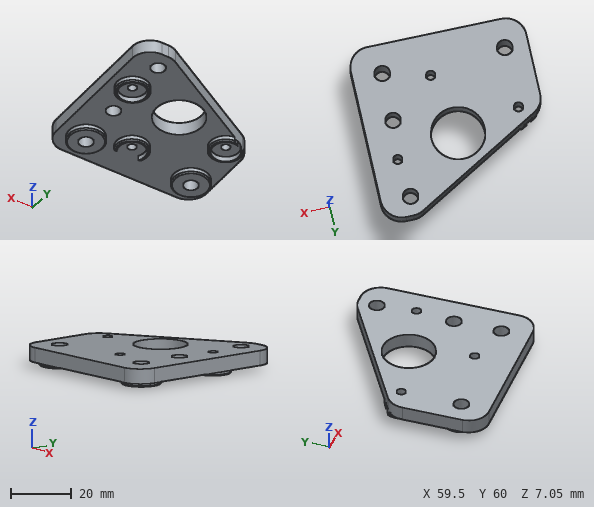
import cadquery as cq
import math

plate_width = 59.45
plate_length = 60.05
plate_thickness = 5.05
corner_radius = 7.0
slant_start_y = 32.0
slant_end_x = 48.05

post_hole_diameter = 5.2
screw_hole_diameter = 3.1
bore_diameter = 18.0

pad_height = 2.0
pad_chamfer = 0.5
post_pad_diameter = 13.45
ring_outer_diameter = 12.1
ring_inner_diameter = 10.1
ring_flat_distance = 2.65

left_post_x = 8.0
right_post_x = 49.5
front_post_y = 9.95
front_posts = [(left_post_x, front_post_y), (right_post_x, front_post_y)]
plain_posts = [(right_post_x, 26.55), (right_post_x, 53.4)]

bore_center = (29.4, 35.5)
screw_circle_radius = 21.9
first_screw_angle = 12.0
screws = []
for quarter_turn in (0, -1, -2):
    angle = math.radians(first_screw_angle + 90 * quarter_turn)
    screws.append((
        bore_center[0] + screw_circle_radius * math.cos(angle),
        bore_center[1] + screw_circle_radius * math.sin(angle),
    ))
front_screw = screws[1]


def outline_prism(bottom, height):
    """Five-sided plate outline with rounded corners."""
    corners = [
        (0, 0),
        (plate_width, 0),
        (plate_width, plate_length),
        (slant_end_x, plate_length),
        (0, slant_start_y),
    ]
    prism = cq.Workplane("XY").workplane(offset=bottom).polyline(corners).close().extrude(height)
    return prism.edges("|Z").fillet(corner_radius)


def cylinders(points, diameter, bottom, height):
    """Upright cylinders at the given points."""
    return cq.Workplane("XY").workplane(offset=bottom).pushPoints(points).circle(diameter / 2).extrude(height)


def pads(points, diameter):
    """Underside discs with a chamfered lower rim."""
    return cylinders(points, diameter, -pad_height, pad_height).faces("<Z").edges().chamfer(pad_chamfer)


def ring_pads():
    """Screw rings, trimmed by the plate outline and by the flat on the front ring."""
    rings = pads(screws, ring_outer_diameter)
    rings = rings.cut(cylinders(screws, ring_inner_diameter, -pad_height, pad_height))
    rings = rings.intersect(outline_prism(-pad_height, pad_height))
    radius = ring_outer_diameter / 2
    flat_cutter = cq.Workplane("XY").box(
        2 * radius, radius, pad_height, centered=(True, False, False)
    ).translate((front_screw[0], front_screw[1] - ring_flat_distance - radius, -pad_height))
    return rings.cut(flat_cutter)


body = outline_prism(0, plate_thickness).union(ring_pads())
body = body.union(pads(front_posts, post_pad_diameter))

total_height = plate_thickness + pad_height
for points, diameter in (
    (front_posts + plain_posts, post_hole_diameter),
    (screws, screw_hole_diameter),
    ([bore_center], bore_diameter),
):
    body = body.cut(cylinders(points, diameter, -pad_height, total_height))

result = body